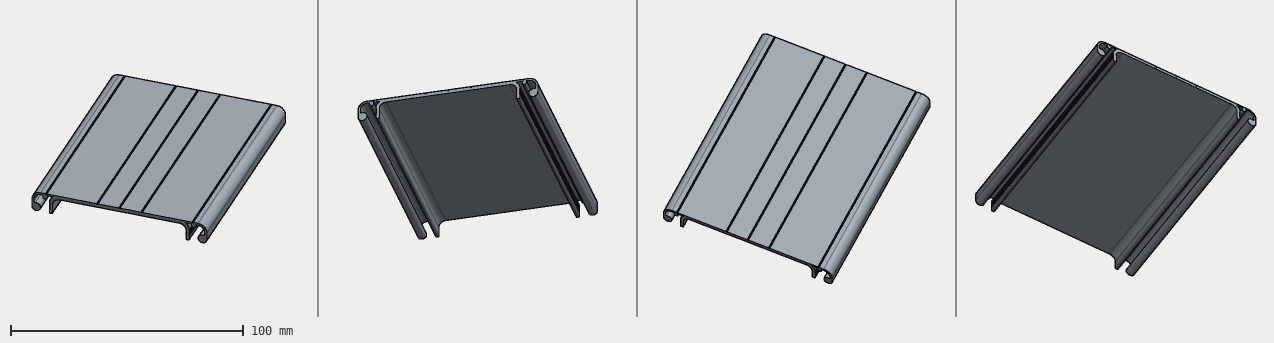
import cadquery as cq
import math

length = 100.0
width = 80.0
height = 9.5

plate_thickness = 1.8
lip_thickness = 1.0
edge_radius = 4.0
bead_radius = 2.0
neck_radius = 0.5

leg_face_offset = 8.0
leg_thickness = 1.5
leg_outer_radius = 4.2
leg_inner_radius = 3.0
leg_tip_radius = 0.5
leg_groove_heights = (2.6, 3.7, 4.8)
leg_groove_width = 0.4
leg_groove_depth = 0.2

rib_offset = 6.0
rib_width = 1.9
rib_tip_radius = 0.9
rib_drop = 2.7

groove_width = 0.6
groove_floor_width = 0.3
groove_depth = 0.3
groove_positions = (-33.5, -10.1, 0.0, 10.1, 33.5)

half_width = width / 2
leg_outer_x = half_width - leg_face_offset
leg_inner_x = leg_outer_x - leg_thickness
leg_bend_x = leg_inner_x - leg_inner_radius
plate_bottom = height - plate_thickness
lip_bottom = height - lip_thickness


def extrude(sketch):
    """Extrude a closed XZ outline over the full length, centred on Y."""
    return sketch.extrude(length / 2, both=True)


def profile():
    """Start an outline in the XZ plane."""
    return cq.Workplane("XZ")


def block(x_min, x_max, z_min, z_max):
    """Full-length bar between the given X and Z limits."""
    centre = ((x_min + x_max) / 2, (z_min + z_max) / 2)
    return extrude(profile().center(*centre).rect(x_max - x_min, z_max - z_min))


def make_plate():
    return block(-leg_bend_x, leg_bend_x, plate_bottom, height)


def make_edge():
    """Thin lip that rounds over into the side wall, ending in a round bead."""
    inner_radius = edge_radius - lip_thickness
    bend_x = half_width - edge_radius
    bend_z = height - edge_radius
    wall_inner_x = half_width - lip_thickness
    bead_x = half_width - bead_radius
    bead_z = bead_radius

    centre_distance = bead_radius + neck_radius
    neck_dx = wall_inner_x - neck_radius - bead_x
    neck_dz = math.sqrt(centre_distance**2 - neck_dx**2)
    touch_share = bead_radius / centre_distance
    touch_point = (bead_x + neck_dx * touch_share, bead_z + neck_dz * touch_share)

    return extrude(
        profile()
        .moveTo(leg_bend_x, height)
        .lineTo(bend_x, height)
        .radiusArc((half_width, bend_z), edge_radius)
        .lineTo(half_width, bead_z)
        .threePointArc((bead_x, bead_z - bead_radius), (bead_x - bead_radius, bead_z))
        .radiusArc(touch_point, bead_radius)
        .radiusArc((wall_inner_x, bead_z + neck_dz), -neck_radius)
        .lineTo(wall_inner_x, bend_z)
        .radiusArc((bend_x, lip_bottom), -inner_radius)
        .lineTo(leg_bend_x, lip_bottom)
        .close()
    )


def make_leg():
    """Leg that curves down from the plate, with V-grooves across its outer face."""
    leg = extrude(
        profile()
        .moveTo(leg_bend_x, height)
        .lineTo(leg_outer_x - leg_outer_radius, height)
        .radiusArc((leg_outer_x, height - leg_outer_radius), leg_outer_radius)
        .lineTo(leg_outer_x, 0)
        .lineTo(leg_inner_x, 0)
        .lineTo(leg_inner_x, plate_bottom - leg_inner_radius)
        .radiusArc((leg_bend_x, plate_bottom), -leg_inner_radius)
        .close()
    )
    leg = leg.faces("<Z").edges("|Y").fillet(leg_tip_radius)
    for z in leg_groove_heights:
        groove = (
            profile()
            .moveTo(leg_outer_x, z - leg_groove_width / 2)
            .lineTo(leg_outer_x - leg_groove_depth, z)
            .lineTo(leg_outer_x, z + leg_groove_width / 2)
            .close()
        )
        leg = leg.cut(extrude(groove))
    return leg


def make_rib():
    rib_x = half_width - rib_offset
    rib = block(rib_x - rib_width / 2, rib_x + rib_width / 2, height - rib_drop, lip_bottom)
    return rib.faces("<Z").edges("|Y").fillet(rib_tip_radius)


def make_groove(x):
    floor_z = height - groove_depth
    return extrude(
        profile()
        .moveTo(x - groove_width / 2, height)
        .lineTo(x - groove_floor_width / 2, floor_z)
        .lineTo(x + groove_floor_width / 2, floor_z)
        .lineTo(x + groove_width / 2, height)
        .close()
    )


right_side = make_edge().union(make_leg()).union(make_rib())
result = make_plate().union(right_side).union(right_side.mirror("YZ"))
for groove_x in groove_positions:
    result = result.cut(make_groove(groove_x))